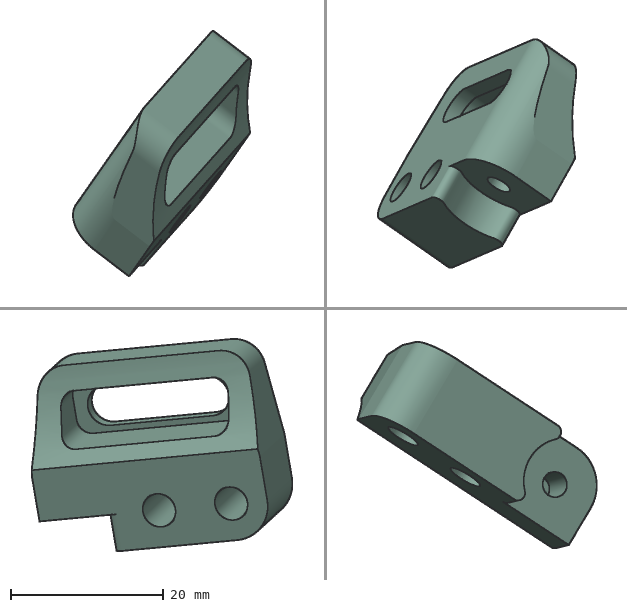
import cadquery as cq
import math

LEAN_ANGLE = 30.0

WIDTH = 31.62
HEIGHT = 24.38
THICKNESS = 11.53
BOTTOM_CORNER_RADIUS = 5.0
TOP_CORNER_RADIUS = 4.0
TAPER_START_HEIGHT = 11.0
TAPER_INSET = 1.45

BACK_FLAT_HEIGHT = 12.0
TOP_THICKNESS = 5.97
BACK_RADIUS = 30.0

BARREL_RADIUS = THICKNESS / 2
BARREL_BASE_HEIGHT = 5.0
PIN_HOLE_DIAMETER = 3.33
PIN_HOLE_DEPTH = 8.0
LIP_RADIUS = 1.0

MOUNT_HOLE_DIAMETER = 4.5
MOUNT_HOLE_HEIGHT = 5.0
MOUNT_HOLE_OFFSETS = (5.0, 15.0)

SLOT_LENGTH = 19.55
SLOT_HEIGHT = 5.4
SLOT_CENTRE_HEIGHT = 17.48
SLOT_DEPTH = 2.0
POCKET_LENGTH = 23.2
POCKET_HEIGHT = 7.1
POCKET_CORNER_RADIUS = 2.0


def barrel_section():
    """Plan outline (X, Y) with the front edge on the Y = 0 side rounded about the hinge axis."""
    diagonal = BARREL_RADIUS * (1 - math.sqrt(0.5))
    return (
        cq.Workplane("XY")
        .moveTo(BARREL_RADIUS, 0)
        .lineTo(THICKNESS, 0)
        .lineTo(THICKNESS, WIDTH)
        .lineTo(0, WIDTH)
        .lineTo(0, BARREL_RADIUS)
        .threePointArc((diagonal, diagonal), (BARREL_RADIUS, 0))
        .close()
    )


def knuckle_section():
    """Plan outline (X, Y) hollowed around the mating barrel, with lips tangent to the hollow."""
    axis = BARREL_RADIUS
    reach = BARREL_RADIUS + LIP_RADIUS
    lip_dx = axis - LIP_RADIUS
    lip_dy = math.sqrt(reach**2 - lip_dx**2)
    lip_y = axis + lip_dy
    share = BARREL_RADIUS / reach
    touch_dx = lip_dx * share
    touch_y = axis + lip_dy * share
    middle_angle = (math.pi + math.atan2(lip_dy, lip_dx)) / 2
    lip_middle_dx = lip_dx - LIP_RADIUS * math.cos(middle_angle)
    lip_middle_y = lip_y - LIP_RADIUS * math.sin(middle_angle)
    return (
        cq.Workplane("XY")
        .moveTo(0, WIDTH)
        .lineTo(0, lip_y)
        .threePointArc((axis - lip_middle_dx, lip_middle_y), (axis - touch_dx, touch_y))
        .threePointArc((axis, axis + BARREL_RADIUS), (axis + touch_dx, touch_y))
        .threePointArc((axis + lip_middle_dx, lip_middle_y), (THICKNESS, lip_y))
        .lineTo(THICKNESS, WIDTH)
        .close()
    )


def face_envelope():
    """Face outline (Y, Z) through the whole thickness: tapered sides and rounded corners."""
    outline = (
        cq.Workplane("YZ")
        .polyline([
            (0, 0),
            (WIDTH, 0),
            (WIDTH, TAPER_START_HEIGHT),
            (WIDTH - TAPER_INSET, HEIGHT),
            (TAPER_INSET, HEIGHT),
            (0, TAPER_START_HEIGHT),
        ])
        .close()
        .extrude(THICKNESS)
    )
    outline = outline.edges("|X and >Z").fillet(TOP_CORNER_RADIUS)
    return outline.edges("|X and <Z and >Y").fillet(BOTTOM_CORNER_RADIUS)


def side_envelope():
    """Side outline (X, Z) through the whole width, with the concave arc of the back."""
    return (
        cq.Workplane("XZ")
        .moveTo(0, 0)
        .lineTo(THICKNESS, 0)
        .lineTo(THICKNESS, BACK_FLAT_HEIGHT)
        .radiusArc((TOP_THICKNESS, HEIGHT), BACK_RADIUS)
        .lineTo(0, HEIGHT)
        .close()
        .extrude(-WIDTH)
    )


def body():
    barrel = barrel_section().extrude(HEIGHT - BARREL_BASE_HEIGHT)
    barrel = barrel.translate((0, 0, BARREL_BASE_HEIGHT))
    knuckle = knuckle_section().extrude(BARREL_BASE_HEIGHT)
    return barrel.union(knuckle).intersect(face_envelope()).intersect(side_envelope()).clean()


def mount_holes():
    centres = [(WIDTH - offset, MOUNT_HOLE_HEIGHT) for offset in MOUNT_HOLE_OFFSETS]
    return cq.Workplane("YZ").pushPoints(centres).circle(MOUNT_HOLE_DIAMETER / 2).extrude(THICKNESS)


def pin_hole():
    return (
        cq.Workplane("XY", origin=(BARREL_RADIUS, BARREL_RADIUS, BARREL_BASE_HEIGHT))
        .circle(PIN_HOLE_DIAMETER / 2)
        .extrude(PIN_HOLE_DEPTH)
    )


def slot_and_pocket():
    """Round-ended slot through the front wall and the rounded pocket behind it."""
    centre = (0, WIDTH / 2, SLOT_CENTRE_HEIGHT)
    slot = cq.Workplane("YZ", origin=centre).slot2D(SLOT_LENGTH, SLOT_HEIGHT).extrude(THICKNESS)
    pocket = (
        cq.Workplane("YZ", origin=centre)
        .workplane(offset=SLOT_DEPTH)
        .rect(POCKET_LENGTH, POCKET_HEIGHT)
        .extrude(THICKNESS - SLOT_DEPTH)
        .edges("|X")
        .fillet(POCKET_CORNER_RADIUS)
    )
    return slot.union(pocket)


upright = body().cut(mount_holes()).cut(pin_hole()).cut(slot_and_pocket())
result = upright.rotate((0, 0, 0), (0, 1, 0), LEAN_ANGLE)